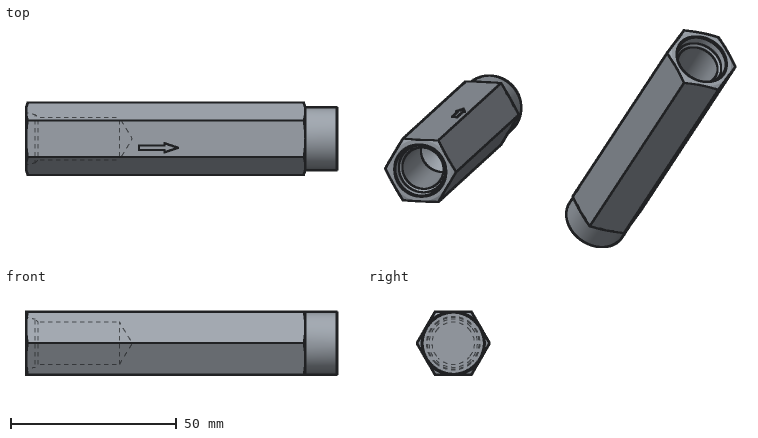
import cadquery as cq
import math

total_length = 94.0
hex_sides = 6
across_flats = 19.1
spigot_diameter = across_flats
spigot_length = 9.7
spigot_chamfer = 0.3
hex_length = total_length - spigot_length
across_corners = across_flats / math.cos(math.pi / hex_sides)
corner_chamfer_length = 0.5

mouth_diameter = 16.2
mouth_chamfer_length = 0.3
port_diameter = 15.6
port_end_diameter = 14.6
port_depth = 2.7
bore_diameter = 12.8
shoulder_length = 0.8
bore_depth = 28.2
tip_angle = 118.0

arrow_start = 34.0
arrow_shaft_length = 7.8
arrow_head_length = 4.0
arrow_shaft_width = 1.5
arrow_head_width = 2.7
arrow_y = -2.7
engraving_depth = 0.1


def revolved(profile):
    """Revolve a closed (x, radius) outline about the X axis."""
    return cq.Workplane("XY").polyline(profile).close().revolve(360, (0, 0, 0), (1, 0, 0))


def hexagon_bar():
    """Hexagon with flats facing +Z and -Z and its corners turned off at both ends."""
    bar = cq.Workplane("YZ").polygon(hex_sides, across_corners).extrude(hex_length)
    corner_radius = across_corners / 2
    face_radius = across_flats / 2
    turning_envelope = revolved([
        (0, 0),
        (0, face_radius),
        (corner_chamfer_length, corner_radius),
        (hex_length - corner_chamfer_length, corner_radius),
        (hex_length, face_radius),
        (hex_length, 0),
    ])
    return bar.intersect(turning_envelope)


def spigot():
    """Round end with a small chamfer on its outer rim."""
    shoulder_plane = cq.Workplane("YZ").workplane(offset=hex_length)
    cylinder = shoulder_plane.circle(spigot_diameter / 2).extrude(spigot_length)
    return cylinder.faces(">X").chamfer(spigot_chamfer)


def port():
    """Countersunk tapered port, conical shoulder, and a drilled bore with a pointed end."""
    bore_radius = bore_diameter / 2
    tip_length = bore_radius / math.tan(math.radians(tip_angle / 2))
    return revolved([
        (0, 0),
        (0, mouth_diameter / 2),
        (mouth_chamfer_length, port_diameter / 2),
        (port_depth, port_end_diameter / 2),
        (port_depth + shoulder_length, bore_radius),
        (bore_depth, bore_radius),
        (bore_depth + tip_length, 0),
    ])


def flow_arrow():
    """Arrow-shaped cutter that sinks into the top flat."""
    head_start = arrow_start + arrow_shaft_length
    head_tip = head_start + arrow_head_length
    half_shaft = arrow_shaft_width / 2
    half_head = arrow_head_width / 2
    outline = [
        (arrow_start, arrow_y - half_shaft),
        (head_start, arrow_y - half_shaft),
        (head_start, arrow_y - half_head),
        (head_tip, arrow_y),
        (head_start, arrow_y + half_head),
        (head_start, arrow_y + half_shaft),
        (arrow_start, arrow_y + half_shaft),
    ]
    arrow_floor = across_flats / 2 - engraving_depth
    floor_plane = cq.Workplane("XY").workplane(offset=arrow_floor)
    return floor_plane.polyline(outline).close().extrude(2 * engraving_depth)


result = hexagon_bar().union(spigot()).cut(port()).cut(flow_arrow())